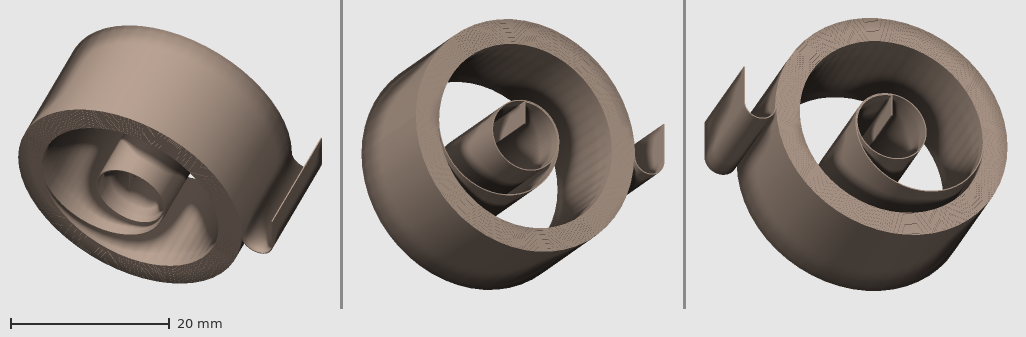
import cadquery as cq
import math


strip_width = 15.0

coil_outer_radius = 15.5
coil_inner_radius = 12.2
coil_layers = 22
layer_gap = 0.007
layer_pitch = (coil_outer_radius - coil_inner_radius) / coil_layers
strip_thickness = layer_pitch - layer_gap
half_thickness = strip_thickness / 2

loop_radius = 4.57
loop_end_radius = loop_radius + layer_pitch
tang_length = 3.0

overall_length = 35.15
hook_height = 5.03

last_layer = coil_outer_radius - half_thickness
first_layer = last_layer - (coil_layers - 1) * layer_pitch
hook_x = overall_length - coil_outer_radius - half_thickness


def strip_arcs():
    """Centre-line arcs in order: (centre, first, middle and last directions, radius, turn)."""
    up, down, left, right = (0, 1), (0, -1), (-1, 0), (1, 0)
    up_right = (math.sqrt(0.5), math.sqrt(0.5))
    clockwise, counter_clockwise = 1, -1
    arcs = []

    def add_half_turn_in_z(start_z, end_z, middle):
        first, last = (up, down) if start_z > end_z else (down, up)
        centre = (0, (start_z + end_z) / 2)
        arcs.append((centre, first, middle, last, abs(end_z - start_z) / 2, clockwise))

    def add_half_turn_in_x(start_x, end_x, middle, turn=clockwise):
        first, last = (right, left) if start_x > end_x else (left, right)
        centre = ((start_x + end_x) / 2, 0)
        arcs.append((centre, first, middle, last, abs(end_x - start_x) / 2, turn))

    add_half_turn_in_z(loop_radius, -loop_radius, right)
    add_half_turn_in_z(-loop_radius, loop_end_radius, left)
    arcs.append(((0, 0), up, up_right, right, loop_end_radius, clockwise))

    x = loop_end_radius
    for layer in range(coil_layers):
        layer_radius = first_layer + layer * layer_pitch
        add_half_turn_in_x(x, -layer_radius, down)
        add_half_turn_in_x(-layer_radius, layer_radius, up)
        x = layer_radius

    add_half_turn_in_x(x, hook_x, down, counter_clockwise)
    return arcs


def point_on(centre, direction, radius):
    return (centre[0] + direction[0] * radius, centre[1] + direction[1] * radius)


def make_strip():
    """Trace the outer face along the strip, cross its end and come back along the inner face."""
    arcs = strip_arcs()
    centre, first, _, _, radius, _ = arcs[0]
    outline = cq.Workplane("XZ").moveTo(*point_on(centre, first, radius + half_thickness))
    for centre, _, middle, last, radius, turn in arcs:
        face = radius + turn * half_thickness
        outline = outline.threePointArc(point_on(centre, middle, face), point_on(centre, last, face))
    outline = outline.lineTo(hook_x - half_thickness, hook_height)
    outline = outline.lineTo(hook_x + half_thickness, hook_height)
    outline = outline.lineTo(hook_x + half_thickness, 0)
    for centre, first, middle, _, radius, turn in reversed(arcs):
        face = radius - turn * half_thickness
        outline = outline.threePointArc(point_on(centre, middle, face), point_on(centre, first, face))
    return outline.close().extrude(strip_width / 2, both=True)


def make_tang():
    """Straight inner end of the strip, bent toward the axis."""
    top = loop_radius + half_thickness
    return (
        cq.Workplane("XZ")
        .center(-half_thickness, top - tang_length / 2)
        .rect(strip_thickness, tang_length)
        .extrude(strip_width / 2, both=True)
    )


result = make_strip().union(make_tang())